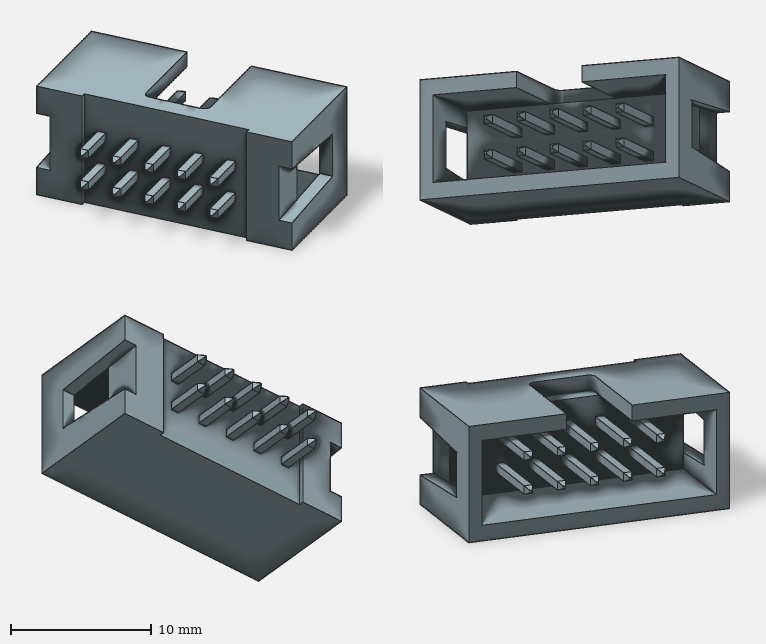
import cadquery as cq


length = 20.07
height = 8.75
depth = 9.25
side_wall = 1.02
top_wall = 1.18
cavity_depth = 6.2

relief_width = 12.93
relief_depth = 0.38

slot_width = 5.05
slot_depth = 7.37
slot_radius = 0.5

window_front_height = 4.35
window_back_height = 3.41
window_rear_margin = 2.37
window_length = depth - window_rear_margin

columns = 5
rows = 2
pitch = 2.55
pin_width = 0.65
pin_tail = 3.07
pin_recess = 0.36
tip_length = 0.52
tip_width = 0.16


def box_between(x_size, y_start, y_end, z_start, z_end):
    """Box centred on X that spans the given Y and Z ranges."""
    return (
        cq.Workplane("XY")
        .box(x_size, y_end - y_start, z_end - z_start, centered=(True, False, False))
        .translate((0, y_start, z_start))
    )


def make_housing():
    half_height = height / 2
    inner_half_height = half_height - top_wall
    body = box_between(length, 0, depth, -half_height, half_height)
    cavity = box_between(
        length - 2 * side_wall, depth - cavity_depth, depth, -inner_half_height, inner_half_height
    )
    relief = box_between(relief_width, 0, relief_depth, -half_height, half_height)
    slot = (
        box_between(slot_width, depth - slot_depth, depth, inner_half_height, half_height)
        .edges("|Z and <Y")
        .fillet(slot_radius)
    )
    return body.cut(cavity).cut(relief).cut(slot)


def make_window(x_start):
    """Wedge as thick as a side wall, narrowing from the front face backwards."""
    front_half = window_front_height / 2
    back_half = window_back_height / 2
    return (
        cq.Workplane("YZ", origin=(x_start, 0, 0))
        .polyline([
            (0, -front_half),
            (window_length, -back_half),
            (window_length, back_half),
            (0, front_half),
        ])
        .close()
        .extrude(side_wall)
    )


def make_tip(y_base, direction):
    """Truncated pyramid that starts at y_base and points along direction (+1 or -1) in Y."""
    base = cq.Plane(origin=(0, y_base, 0), xDir=(1, 0, 0), normal=(0, direction, 0))
    return (
        cq.Workplane(base)
        .rect(pin_width, pin_width)
        .workplane(offset=tip_length)
        .rect(tip_width, tip_width)
        .loft(ruled=True)
    )


def make_pin():
    shank_start = tip_length - pin_tail
    shank_end = depth - pin_recess - tip_length
    shank = box_between(pin_width, shank_start, shank_end, -pin_width / 2, pin_width / 2)
    return shank.union(make_tip(shank_start, -1)).union(make_tip(shank_end, 1))


result = make_housing()

for window_x in (-length / 2, length / 2 - side_wall):
    result = result.cut(make_window(window_x))

pin = make_pin()
for column in range(columns):
    for row in range(rows):
        pin_x = (column - (columns - 1) / 2) * pitch
        pin_z = (row - (rows - 1) / 2) * pitch
        result = result.union(pin.translate((pin_x, 0, pin_z)))